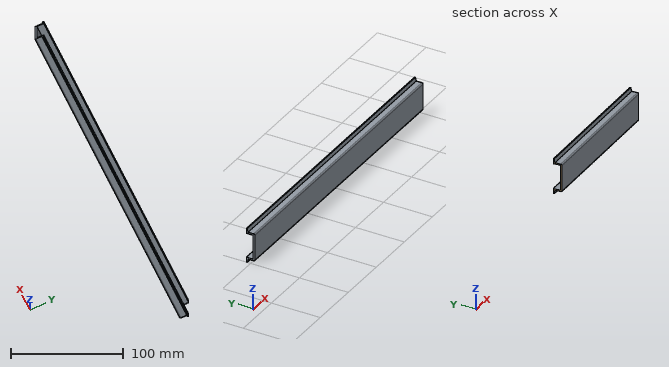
import cadquery as cq

length = 300.0
depth = 8.7
height = 35.0

channel_height = 28.2
web_thickness = 2.0
leg_thickness = 1.8
flange_root_thickness = 1.8
flange_tip_thickness = 1.0
bend_radius = 1.2

half_height = height / 2
half_channel = channel_height / 2
half_opening = half_channel - leg_thickness
web_front = -depth / 2
web_back = web_front + web_thickness
flange_back = depth / 2
flange_root_front = flange_back - flange_root_thickness
flange_tip_front = flange_back - flange_tip_thickness

upper_outline = [
    (flange_back, half_opening),
    (flange_back, half_height),
    (flange_tip_front, half_height),
    (flange_root_front, half_channel),
    (web_front, half_channel),
]
lower_outline = [(y, -z) for y, z in reversed(upper_outline)]
opening_outline = [(web_back, -half_opening), (web_back, half_opening)]

rail = (
    cq.Workplane("YZ")
    .polyline(upper_outline + lower_outline + opening_outline)
    .close()
    .extrude(length / 2, both=True)
)


def long_edges_at(y, z):
    """Select the two mirrored lengthwise edges at (y, +z) and (y, -z)."""
    tolerance = 0.03
    corner = (tolerance, tolerance, tolerance)
    selector = None
    for edge_z in (z, -z):
        centre = (0, y, edge_z)
        low = tuple(c - t for c, t in zip(centre, corner))
        high = tuple(c + t for c, t in zip(centre, corner))
        box = cq.selectors.BoxSelector(low, high)
        selector = box if selector is None else selector + box
    return selector


result = rail.edges(long_edges_at(web_front, half_channel)).fillet(bend_radius)